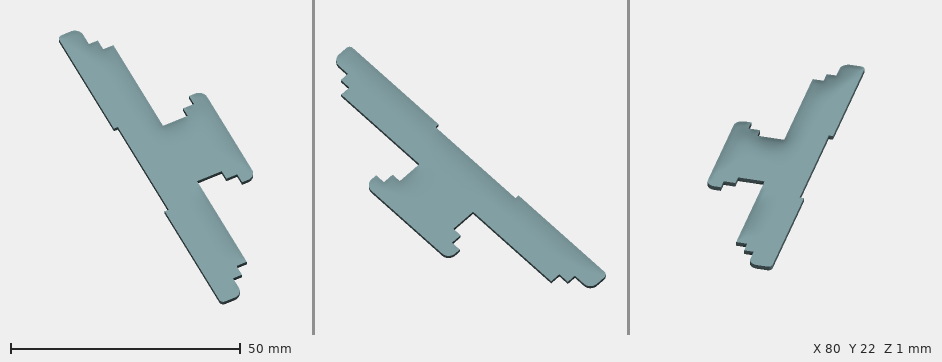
import cadquery as cq

length = 80.0
depth = 22.0
thickness = 1.0

end_height = 5.3
step_half_width = 35.2
step_height = 7.4
shoulder_half_width = 32.6
shoulder_height = 9.9

neck_half_width = 8.3
collar_half_width = 10.6
collar_height = 15.9
head_half_width = 13.0
head_height = 18.6

relief_half_width = 12.4
relief_depth = 1.0

outer_radius = 2.0
front_radius = 1.0


def centred_block(half_width, bottom, top):
    """Plate-thick block symmetric about X = 0, between two Y positions."""
    return (
        cq.Workplane("XY")
        .rect(2 * half_width, top - bottom)
        .extrude(thickness)
        .translate((0, (bottom + top) / 2, 0))
    )


bar = centred_block(length / 2, 0, end_height)
bar = bar.edges("|Z and >Y").fillet(outer_radius)
bar = bar.edges("|Z and <Y").fillet(front_radius)

head = centred_block(head_half_width, head_height, depth)
head = head.edges("|Z and >Y").fillet(outer_radius)

plate = (
    bar
    .union(centred_block(step_half_width, relief_depth, step_height))
    .union(centred_block(shoulder_half_width, relief_depth, shoulder_height))
    .union(centred_block(neck_half_width, relief_depth, depth))
    .union(centred_block(collar_half_width, collar_height, depth))
    .union(head)
)

result = plate.cut(centred_block(relief_half_width, 0, relief_depth)).clean()